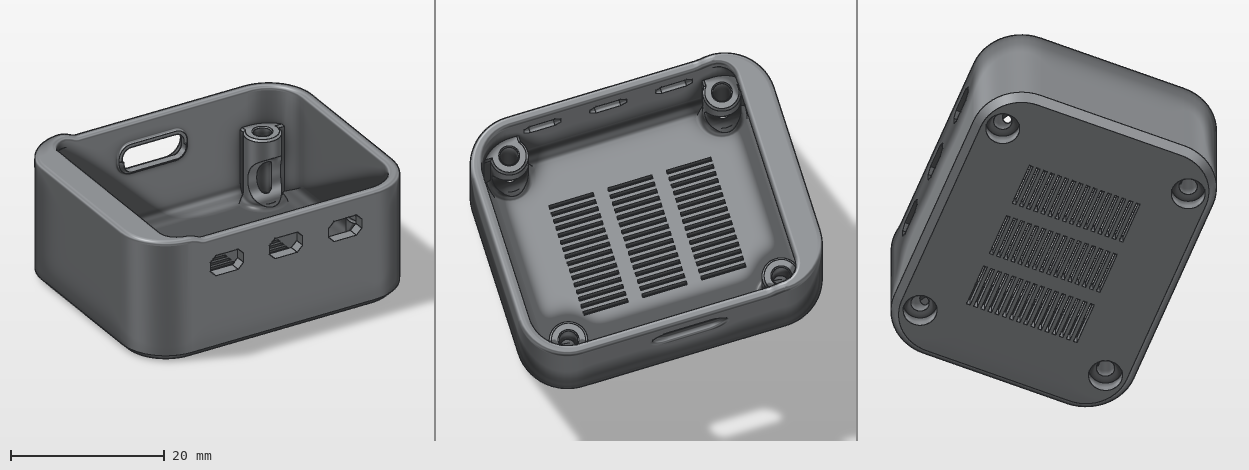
import cadquery as cq
import math

WIDTH = 33.5
LENGTH = 41.1
HEIGHT = 17.8
WALL = 1.5
FLOOR = 1.5
CORNER_RADIUS = 6.7
INNER_CORNER_RADIUS = CORNER_RADIUS - WALL
BASE_CHAMFER = 1.0
FLOOR_FILLET = 2.0
RIM_FILLET = 0.6
INNER_HALF_X = WIDTH / 2 - WALL
INNER_HALF_Y = LENGTH / 2 - WALL

RIM_DROP = 0.75
STEP_REAR_Y = -11.45
STEP_JOIN_Y = -12.55
STEP_FRONT_Y = -14.43

LIP_DEPTH = 4.255
LIP_THICKNESS = 1.5
LIP_CORNER_RADIUS = 2.45

BOSS_X = 13.0
BOSS_REAR_Y = 14.65
BOSS_FRONT_Y = -14.35
BOSS_RADIUS = 2.5
BOSS_TOP = 11.67
BOSS_CHAMFER = 0.3
BOSS_FLARE = 1.0
WEB_HALF_WIDTH = 2.0
WEB_INNER_OFFSET = 0.12
SCREW_DIAMETER = 2.4
SCREW_CHAMFER = 0.15
HEAD_DIAMETER = 4.4
HEAD_DEPTH = 2.0
RELIEF_RADIUS = 3.85
RELIEF_Z = FLOOR + RELIEF_RADIUS
RELIEF_OFFSET = 4.27

VENT_COLUMNS = 16
VENT_ROWS = 3
VENT_WIDTH = 0.5
VENT_LENGTH = 6.0
VENT_PITCH_X = 1.0
VENT_PITCH_Y = 8.0
VENT_CENTER_Y = -0.15

PORT_Y = -0.8
PORT_Z = 12.0
PORT_WIDTH = 9.37
PORT_HEIGHT = 3.35
PORT_CORNER_RADIUS = 1.35
RECESS_WIDTH = 10.05
RECESS_HEIGHT = 4.4
RECESS_DEPTH = 1.2
RECESS_FLOOR_FILLET = 0.5
RECESS_EDGE_FILLET = 0.4
COLLAR_WALL = 0.5
COLLAR_LENGTH = 0.82
COLLAR_CHAMFER = 0.45
COLLAR_FLARE = 0.33

WINDOW_COUNT = 3
WINDOW_PITCH = 8.95
WINDOW_CENTER_Y = 0.4
WINDOW_WIDTH = 5.0
WINDOW_HEIGHT = 3.0
WINDOW_CHAMFER = 0.82
WINDOW_Z = 12.82


def rounded_prism(half_x, half_y, radius, bottom, top):
    """Upright block centred on the Z axis with equally rounded corners."""
    return (
        cq.Workplane("XY", origin=(0, 0, bottom))
        .rect(2 * half_x, 2 * half_y)
        .extrude(top - bottom)
        .edges("|Z")
        .fillet(radius)
    )


def box_between(x, y, z):
    """Box spanning the given (low, high) ranges."""
    size = [high - low for low, high in (x, y, z)]
    return cq.Workplane("XY", origin=(x[0], y[0], z[0])).box(*size, centered=False)


def side_prism(x, y, z, width, height, depth):
    """Rectangular block running in +X from a wall position, centred on (y, z)."""
    return cq.Workplane("YZ", origin=(x, y, z)).rect(width, height).extrude(depth)


def rim_step_cutter():
    """Space above the lowered rim, bounded by the S-shaped step."""
    half_slope = math.atan(RIM_DROP / (STEP_REAR_Y - STEP_FRONT_Y))
    low = HEIGHT - RIM_DROP
    join_z = low + (STEP_REAR_Y - STEP_JOIN_Y) * math.tan(half_slope)
    return (
        cq.Workplane("YZ")
        .moveTo(LENGTH, HEIGHT)
        .lineTo(LENGTH, low)
        .lineTo(STEP_REAR_Y, low)
        .tangentArcPoint((STEP_JOIN_Y, join_z), relative=False)
        .tangentArcPoint((STEP_FRONT_Y, HEIGHT), relative=False)
        .close()
        .extrude(WIDTH, both=True)
    )


def cavity_space(top):
    """Inside of the housing, with straight coves along the floor and rounded upright corners."""
    space = box_between((-INNER_HALF_X, INNER_HALF_X), (-INNER_HALF_Y, INNER_HALF_Y), (FLOOR, top))
    space = space.faces("<Z").edges().fillet(FLOOR_FILLET)
    return space.intersect(rounded_prism(INNER_HALF_X, INNER_HALF_Y, INNER_CORNER_RADIUS, FLOOR, top))


def mouth_opening():
    """Opening through the top, narrowed at the front by the lip."""
    front = LIP_DEPTH - LENGTH / 2
    block = box_between((-INNER_HALF_X, INNER_HALF_X), (front, INNER_HALF_Y), (HEIGHT / 2, HEIGHT))
    block = block.edges("|Z and >Y").fillet(INNER_CORNER_RADIUS)
    return block.edges("|Z and <Y").fillet(LIP_CORNER_RADIUS)


def housing():
    """Tray with chamfered base, stepped rim, front lip and rounded rim edges."""
    body = rounded_prism(WIDTH / 2, LENGTH / 2, CORNER_RADIUS, 0, HEIGHT)
    body = body.faces("<Z").edges().chamfer(BASE_CHAMFER)
    body = body.cut(rim_step_cutter()).cut(mouth_opening())
    rim_bottom = HEIGHT - RIM_DROP - 0.05
    rim = cq.selectors.BoxSelector((-WIDTH, -LENGTH, rim_bottom), (WIDTH, LENGTH, 2 * HEIGHT), boundingbox=True)
    step = cq.selectors.BoxSelector(
        (-WIDTH, STEP_FRONT_Y - 0.05, rim_bottom), (WIDTH, STEP_REAR_Y + 0.05, 2 * HEIGHT), boundingbox=True
    )
    across_wall = step & cq.selectors.ParallelDirSelector(cq.Vector(1, 0, 0))
    body = body.edges(rim - across_wall).fillet(RIM_FILLET)
    return body.cut(cavity_space(HEIGHT - LIP_THICKNESS))


def boss(x, y):
    """Screw boss with a flared foot, joined to the corner of the cavity and relieved inwards."""
    side = math.copysign(1, x)
    end = math.copysign(1, y)
    web_x = sorted((x + side * WEB_INNER_OFFSET, side * WIDTH / 2))
    web_y = sorted((y - end * WEB_HALF_WIDTH, end * LENGTH / 2))
    post = cq.Workplane("XY", origin=(x, y, 0)).circle(BOSS_RADIUS).extrude(BOSS_TOP)
    post = post.union(box_between(web_x, web_y, (0, BOSS_TOP)))
    post = post.faces(">Z").edges().chamfer(BOSS_CHAMFER)

    flare_reach = BOSS_RADIUS + BOSS_FLARE
    flare_mid = BOSS_FLARE * (1 - math.sqrt(0.5))
    foot = (
        cq.Workplane("XZ", origin=(x, y, 0))
        .lineTo(flare_reach, 0)
        .lineTo(flare_reach, FLOOR)
        .threePointArc((BOSS_RADIUS + flare_mid, FLOOR + flare_mid), (BOSS_RADIUS, FLOOR + BOSS_FLARE))
        .lineTo(0, FLOOR + BOSS_FLARE)
        .close()
        .revolve(360, (0, 0, 0), (0, 1, 0))
    )
    relief = (
        cq.Workplane("XZ", origin=(x - side * RELIEF_OFFSET, y, RELIEF_Z))
        .circle(RELIEF_RADIUS)
        .extrude(flare_reach, both=True)
    )
    inside = rounded_prism(
        INNER_HALF_X + WALL / 2, INNER_HALF_Y + WALL / 2, INNER_CORNER_RADIUS + WALL / 2, FLOOR / 2, HEIGHT
    )
    return post.union(foot).cut(relief).intersect(inside)


def boss_bore(x, y):
    """Screw hole with a chamfered mouth and a head counterbore from below."""
    radius = SCREW_DIAMETER / 2
    mouth = radius + SCREW_CHAMFER
    head = HEAD_DIAMETER / 2
    return (
        cq.Workplane("XZ", origin=(x, y, 0))
        .lineTo(head, 0)
        .lineTo(head, HEAD_DEPTH)
        .lineTo(radius, HEAD_DEPTH)
        .lineTo(radius, BOSS_TOP - SCREW_CHAMFER)
        .lineTo(mouth, BOSS_TOP)
        .lineTo(0, BOSS_TOP)
        .close()
        .revolve(360, (0, 0, 0), (0, 1, 0))
    )


def vents():
    """Rows of narrow slots through the floor."""
    return (
        cq.Workplane("XY", origin=(0, VENT_CENTER_Y, 0))
        .rarray(VENT_PITCH_X, VENT_PITCH_Y, VENT_COLUMNS, VENT_ROWS)
        .rect(VENT_WIDTH, VENT_LENGTH)
        .extrude(FLOOR)
    )


def windows():
    """Row of bevelled windows through the +X wall."""
    cutters = cq.Workplane("XY")
    for index in range(WINDOW_COUNT):
        y = WINDOW_CENTER_Y + (index - (WINDOW_COUNT - 1) / 2) * WINDOW_PITCH
        window = side_prism(INNER_HALF_X - WALL, y, WINDOW_Z, WINDOW_WIDTH, WINDOW_HEIGHT, 3 * WALL)
        cutters = cutters.add(window.edges("|X").chamfer(WINDOW_CHAMFER))
    return cutters.combine()


def port_collar():
    """Collar inside the -X wall, flared into the wall face; only its lower half keeps the bevelled tip."""
    width = PORT_WIDTH + 2 * COLLAR_WALL
    height = PORT_HEIGHT + 2 * COLLAR_WALL
    margin = 4 * COLLAR_FLARE
    wall_face = -INNER_HALF_X
    collar = side_prism(wall_face, PORT_Y, PORT_Z, width, height, COLLAR_LENGTH)
    collar = collar.edges("|X").fillet(PORT_CORNER_RADIUS + COLLAR_WALL)
    collar = collar.faces(">X").edges().chamfer(COLLAR_CHAMFER)
    backing = side_prism(wall_face - WALL / 2, PORT_Y, PORT_Z, width + margin, height + margin, WALL / 2)
    joint = cq.selectors.BoxSelector(
        (wall_face - 0.05, PORT_Y - width / 2 - 0.05, PORT_Z - height / 2 - 0.05),
        (wall_face + 0.05, PORT_Y + width / 2 + 0.05, PORT_Z + height / 2 + 0.05),
        boundingbox=True,
    )
    collar = backing.union(collar).edges(joint).fillet(COLLAR_FLARE)
    clearance = side_prism(
        wall_face + COLLAR_LENGTH - COLLAR_CHAMFER, PORT_Y, PORT_Z + height / 2, width, height, COLLAR_LENGTH
    )
    return collar.cut(clearance)


def add_port(body):
    """Collar, rounded outer recess and through opening for the connector."""
    outer_face = -WIDTH / 2
    recess = (
        cq.Workplane("YZ", origin=(outer_face, PORT_Y, PORT_Z))
        .slot2D(RECESS_WIDTH, RECESS_HEIGHT)
        .extrude(RECESS_DEPTH)
    )
    recess = recess.faces(">X").edges().fillet(RECESS_FLOOR_FILLET)
    opening = side_prism(outer_face, PORT_Y, PORT_Z, PORT_WIDTH, PORT_HEIGHT, 3 * WALL)
    opening = opening.edges("|X").fillet(PORT_CORNER_RADIUS)
    body = body.union(port_collar()).cut(recess)
    mouth = cq.selectors.BoxSelector(
        (outer_face - 0.05, PORT_Y - RECESS_WIDTH, PORT_Z - RECESS_HEIGHT),
        (outer_face + 0.05, PORT_Y + RECESS_WIDTH, PORT_Z + RECESS_HEIGHT),
        boundingbox=True,
    )
    return body.edges(mouth).fillet(RECESS_EDGE_FILLET).cut(opening)


result = add_port(housing())
boss_places = [(x, y) for x in (-BOSS_X, BOSS_X) for y in (BOSS_FRONT_Y, BOSS_REAR_Y)]
for place in boss_places:
    result = result.union(boss(*place))
for place in boss_places:
    result = result.cut(boss_bore(*place))
result = result.cut(vents()).cut(windows())